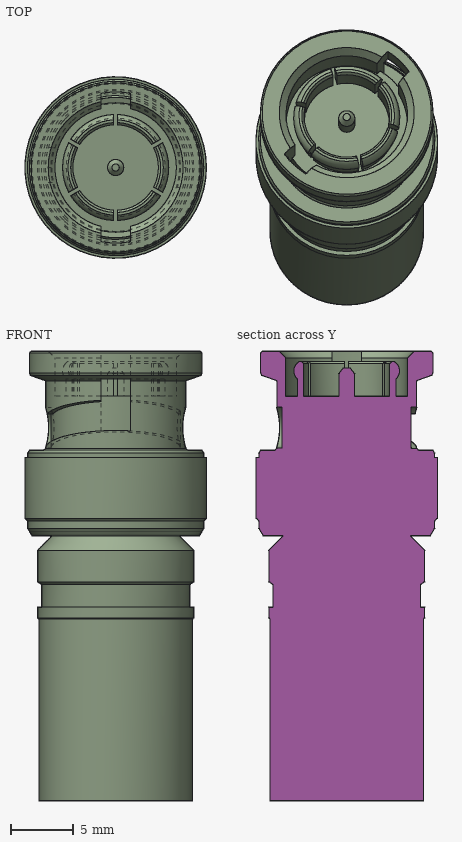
import cadquery as cq
import math

height = 36.1

sleeve_radius = 6.17
rim_radius = 6.28
rim_bottom = 14.6
rim_top = 15.55
rim_chamfer = 0.1
groove_radius = 5.95
groove_top = 17.35
collar_bottom_edge = 17.58
collar_radius = rim_radius
collar_top = 20.1

nut_radius = 7.3
nut_bottom = 21.25
nut_bottom_radius = 6.7
nut_band_radius = 7.08
nut_band_bottom = 21.88
nut_band_top = 22.45
nut_taper_radius = 6.93
nut_taper_top = 21.62
nut_taper_bottom_radius = 6.75
nut_taper_bottom = 21.35
nut_body_bottom = 22.67
nut_body_top = 27.58
nut_top = 28.15
nut_top_chamfer_width = 0.15
nut_top_chamfer_height = 0.25

neck_radius = 5.63
neck_flare = 0.15
flange_radius = 6.93
flange_under_radius = 6.85
flange_underside = 33.7
flange_cone_top = 34.15
flange_edge_bottom = 34.33
flange_top_chamfer = 0.15

floor_height = 32.5
bore_radius = 4.87
bore_chamfer = 0.55
core_radius = 5.2

slot_width = 2.4
slot_outer_radius = 6.05
lock_hole_radius = 1.62
lock_hole_height = 29.95
ramp_angle = 14.4

ring_top = 35.27
ring_root_radius = 3.97
ring_bulge_radius = 4.25
ring_bulge_bottom = 33.85
ring_bulge_height = 34.6
ring_top_radius = 3.83
ring_bore_radius = 3.43
ring_bore_chamfer = 0.18
slit_width = 0.32
slit_count = 6
pin_radius = 0.65
pin_tip_radius = 0.3
pin_shoulder = 34.3
pin_top = 34.75


def cylinder(radius, bottom, top):
    """Upright cylinder on the part axis."""
    return cq.Workplane("XY").workplane(offset=bottom).circle(radius).extrude(top - bottom)


def tube(inner_radius, outer_radius, bottom, top):
    """Upright tube on the part axis."""
    return cylinder(outer_radius, bottom, top).cut(cylinder(inner_radius, bottom, top))


def make_body():
    """Revolved outer shell with the open socket at its top."""
    cone_top_radius = collar_radius - (nut_bottom - collar_top)
    outline = [
        (0, 0),
        (sleeve_radius, 0),
        (sleeve_radius, rim_bottom),
        (rim_radius, rim_bottom + rim_chamfer),
        (rim_radius, rim_top),
        (groove_radius, rim_top),
        (groove_radius, groove_top),
        (collar_radius, collar_bottom_edge),
        (collar_radius, collar_top),
        (cone_top_radius, nut_bottom),
        (nut_bottom_radius, nut_bottom),
        (nut_taper_bottom_radius, nut_taper_bottom),
        (nut_taper_radius, nut_taper_top),
        (nut_band_radius, nut_band_bottom),
        (nut_band_radius, nut_band_top),
        (nut_radius, nut_body_bottom),
        (nut_radius, nut_body_top),
        (nut_band_radius, nut_body_top),
        (nut_band_radius, nut_top - nut_top_chamfer_height),
        (nut_band_radius - nut_top_chamfer_width, nut_top),
        (neck_radius + neck_flare, nut_top),
        (neck_radius, nut_top + neck_flare),
        (neck_radius, flange_underside),
        (flange_under_radius, flange_cone_top),
        (flange_radius, flange_edge_bottom),
        (flange_radius, height - flange_top_chamfer),
        (flange_radius - flange_top_chamfer, height),
        (bore_radius + bore_chamfer, height),
        (bore_radius, height - bore_chamfer),
        (bore_radius, floor_height),
        (0, floor_height),
    ]
    return cq.Workplane("XZ").polyline(outline).close().revolve(360, (0, 0), (0, 1))


def make_bayonet_slot():
    """Entry slot at -Y, sloping ramp, and round lock hole at -X, as one cutter."""
    half_width = slot_width / 2
    reach = slot_outer_radius

    slope = math.tan(math.radians(ramp_angle))
    stretch = 1 / math.cos(math.radians(ramp_angle))
    floor_at_axis = lock_hole_height - lock_hole_radius * stretch
    roof_at_axis = floor_at_axis + slot_width * stretch
    ramp_rise = reach * slope
    floor_at_mid_reach = floor_at_axis + ramp_rise / 2

    ramp = (
        cq.Workplane("YZ", origin=(-reach, 0, 0))
        .polyline([
            (0, floor_at_axis),
            (0, roof_at_axis),
            (-reach, roof_at_axis + ramp_rise),
            (-reach, floor_at_axis + ramp_rise),
        ])
        .close()
        .extrude(reach + half_width)
    )
    entry = (
        cq.Workplane("YZ", origin=(-half_width, 0, 0))
        .polyline([
            (-reach / 2, floor_at_mid_reach),
            (-reach, floor_at_axis + ramp_rise),
            (-reach, height),
            (-reach / 2, height),
        ])
        .close()
        .extrude(slot_width)
    )
    lock_hole = (
        cq.Workplane("YZ", origin=(-reach, 0, 0))
        .center(0, lock_hole_height)
        .circle(lock_hole_radius)
        .extrude(reach)
    )

    inside_radius = (bore_radius + ring_bulge_radius) / 2
    lower_wall = tube(core_radius, slot_outer_radius, nut_top, floor_height)
    upper_wall = tube(inside_radius, slot_outer_radius, floor_height, height)
    return ramp.union(entry).union(lock_hole).intersect(lower_wall.union(upper_wall))


def make_contact_ring():
    """Bulged spring ring split into equal fingers."""
    ring = (
        cq.Workplane("XZ")
        .moveTo(ring_bore_radius, floor_height)
        .lineTo(ring_root_radius, floor_height)
        .lineTo(ring_root_radius, ring_bulge_bottom)
        .threePointArc((ring_bulge_radius, ring_bulge_height), (ring_top_radius, ring_top))
        .lineTo(ring_bore_radius + ring_bore_chamfer, ring_top)
        .lineTo(ring_bore_radius, ring_top - ring_bore_chamfer)
        .close()
        .revolve(360, (0, 0), (0, 1))
    )
    slit = (
        cq.Workplane("XY", origin=(0, 0, floor_height))
        .center(0, bore_radius / 2)
        .rect(slit_width, bore_radius)
        .extrude(ring_top - floor_height)
    )
    for index in range(slit_count):
        ring = ring.cut(slit.rotate((0, 0, 0), (0, 0, 1), index * 360 / slit_count))
    return ring


def make_pin():
    """Centre contact with a conical tip."""
    return (
        cq.Workplane("XZ")
        .polyline([
            (0, floor_height),
            (pin_radius, floor_height),
            (pin_radius, pin_shoulder),
            (pin_tip_radius, pin_top),
            (0, pin_top),
        ])
        .close()
        .revolve(360, (0, 0), (0, 1))
    )


bayonet_slot = make_bayonet_slot()
opposite_slot = bayonet_slot.rotate((0, 0, 0), (0, 0, 1), 180)

result = (
    make_body()
    .cut(bayonet_slot)
    .cut(opposite_slot)
    .union(make_contact_ring())
    .union(make_pin())
)